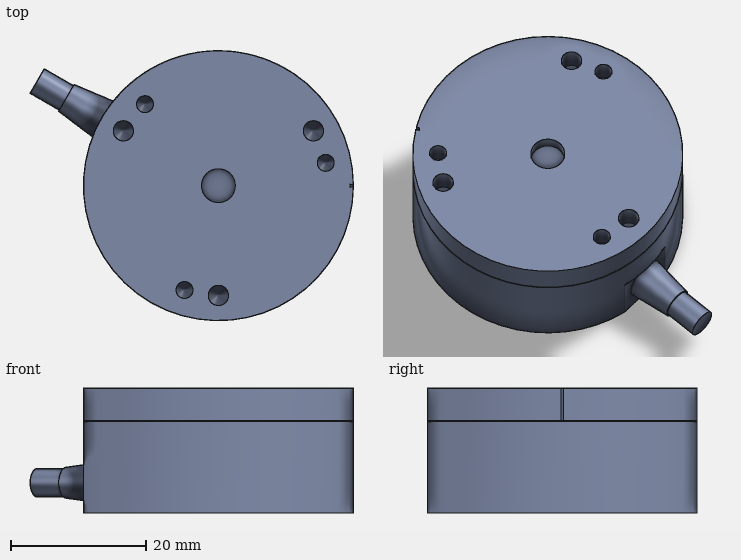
import cadquery as cq
import math

BODY_DIAMETER = 40.0
BODY_HEIGHT = 18.5
JOINT_DIAMETER = 39.0
JOINT_WIDTH = 0.15
LID_HEIGHT = 4.8
JOINT_BOTTOM = BODY_HEIGHT - LID_HEIGHT - JOINT_WIDTH

CENTRE_HOLE_DIAMETER = 5.0
CENTRE_HOLE_DEPTH = 2.0
BOLT_CIRCLE_DIAMETER = 32.5
SCREW_HOLE_DIAMETER = 3.0
PIN_HOLE_DIAMETER = 2.5
BLIND_HOLE_DEPTH = 4.0
DRILL_POINT_ANGLE = 118.0
HOLE_PAIR_ANGLES = (30.0, 150.0, 270.0)
PIN_ANGLE_OFFSET = -18.0

NOTCH_WIDTH = 0.4
NOTCH_DEPTH = 0.5
NOTCH_HEIGHT = LID_HEIGHT

CABLE_ANGLE = 150.0
CABLE_AXIS_HEIGHT = 4.5
CABLE_DIAMETER = 4.2
CABLE_END_RADIUS = 31.0
FLAT_RADIUS = 19.5
FLAT_HEIGHT = 8.0
SLEEVE_END_RADIUS = 26.0
SLEEVE_BASE_DIAMETER = 6.2
SLEEVE_TIP_DIAMETER = 4.6


def make_housing():
    housing = cq.Workplane("XY").circle(BODY_DIAMETER / 2).extrude(BODY_HEIGHT)
    joint = (
        cq.Workplane("XY")
        .workplane(offset=JOINT_BOTTOM)
        .circle(BODY_DIAMETER / 2)
        .circle(JOINT_DIAMETER / 2)
        .extrude(JOINT_WIDTH)
    )
    return housing.cut(joint)


def make_drilled_hole(diameter, angle):
    """Cutter for a blind hole with a conical bottom, on the bolt circle."""
    radius = diameter / 2
    point_length = radius / math.tan(math.radians(DRILL_POINT_ANGLE / 2))
    profile = [
        (0, 0),
        (radius, 0),
        (radius, -BLIND_HOLE_DEPTH),
        (0, -BLIND_HOLE_DEPTH - point_length),
    ]
    drill = cq.Workplane("XZ").polyline(profile).close().revolve(360, (0, 0), (0, 1))
    drill = drill.translate((BOLT_CIRCLE_DIAMETER / 2, 0, BODY_HEIGHT))
    return drill.rotate((0, 0, 0), (0, 0, 1), angle)


def cut_lid_holes(part):
    part = part.faces(">Z").workplane().hole(CENTRE_HOLE_DIAMETER, CENTRE_HOLE_DEPTH)
    for angle in HOLE_PAIR_ANGLES:
        part = part.cut(make_drilled_hole(SCREW_HOLE_DIAMETER, angle))
        part = part.cut(make_drilled_hole(PIN_HOLE_DIAMETER, angle + PIN_ANGLE_OFFSET))
    return part


def cut_index_notch(part):
    notch = cq.Workplane("XY").box(2 * NOTCH_DEPTH, NOTCH_WIDTH, 2 * NOTCH_HEIGHT)
    return part.cut(notch.translate((BODY_DIAMETER / 2, 0, BODY_HEIGHT)))


def cut_cable_flat(part):
    """Flat at the foot of the wall, square to the cable axis."""
    flat = (
        cq.Workplane("XY")
        .box(BODY_DIAMETER, BODY_DIAMETER, FLAT_HEIGHT, centered=(False, True, False))
        .translate((FLAT_RADIUS, 0, 0))
        .rotate((0, 0, 0), (0, 0, 1), CABLE_ANGLE)
    )
    return part.cut(flat)


def make_cable():
    """Sleeve and cable as one revolved body along the outlet direction."""
    profile = [
        (FLAT_RADIUS, 0),
        (FLAT_RADIUS, SLEEVE_BASE_DIAMETER / 2),
        (SLEEVE_END_RADIUS, SLEEVE_TIP_DIAMETER / 2),
        (SLEEVE_END_RADIUS, CABLE_DIAMETER / 2),
        (CABLE_END_RADIUS, CABLE_DIAMETER / 2),
        (CABLE_END_RADIUS, 0),
    ]
    cable = cq.Workplane("XY").polyline(profile).close().revolve(360, (0, 0), (1, 0))
    cable = cable.translate((0, 0, CABLE_AXIS_HEIGHT))
    return cable.rotate((0, 0, 0), (0, 0, 1), CABLE_ANGLE)


housing = make_housing()
housing = cut_lid_holes(housing)
housing = cut_index_notch(housing)
housing = cut_cable_flat(housing)
result = housing.union(make_cable())